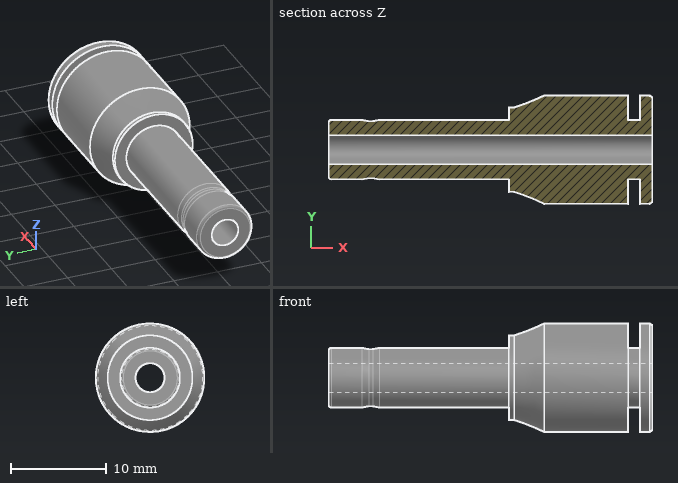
import cadquery as cq

length = 34.05
body_radius = 11.45 / 2
stem_radius = 6.3 / 2
bore_radius = 3.03 / 2

stem_end_round = 0.3
groove_start = 3.5
groove_slope_length = 0.7
groove_floor_length = 0.4
groove_depth = 0.15

collar_start = 18.95
collar_length = 0.55
collar_radius = 8.92 / 2
shoulder_length = 3.15
shoulder_hollow = 0.07
body_end = 31.5

neck_length = 1.23
ring_chamfer_length = 0.3
ring_chamfer_height = 0.2

groove_floor_start = groove_start + groove_slope_length
groove_floor_end = groove_floor_start + groove_floor_length
groove_end = groove_floor_end + groove_slope_length
shoulder_start = collar_start + collar_length
shoulder_end = shoulder_start + shoulder_length
ring_start = body_end + neck_length

groove_radius = stem_radius - groove_depth
shoulder_middle = (
    (shoulder_start + shoulder_end) / 2,
    (collar_radius + body_radius) / 2 - shoulder_hollow,
)


def make_stem():
    """Stem and neck as one spindle, running from the stem end to the ring."""
    profile = (
        cq.Workplane("XY")
        .lineTo(0, stem_radius)
        .lineTo(groove_start, stem_radius)
        .lineTo(groove_floor_start, groove_radius)
        .lineTo(groove_floor_end, groove_radius)
        .lineTo(groove_end, stem_radius)
        .lineTo(length, stem_radius)
        .lineTo(length, 0)
        .close()
    )
    spindle = profile.revolve(360, (0, 0, 0), (1, 0, 0))
    return spindle.faces("<X").edges().fillet(stem_end_round)


def make_body():
    """Collar, flared shoulder and cylindrical body."""
    profile = (
        cq.Workplane("XY")
        .moveTo(collar_start, 0)
        .lineTo(collar_start, collar_radius)
        .lineTo(shoulder_start, collar_radius)
        .threePointArc(shoulder_middle, (shoulder_end, body_radius))
        .lineTo(body_end, body_radius)
        .lineTo(body_end, 0)
        .close()
    )
    return profile.revolve(360, (0, 0, 0), (1, 0, 0))


def make_release_ring():
    """Flat ring with a chamfered outer end."""
    profile = (
        cq.Workplane("XY")
        .moveTo(ring_start, 0)
        .lineTo(ring_start, body_radius)
        .lineTo(length - ring_chamfer_length, body_radius)
        .lineTo(length, body_radius - ring_chamfer_height)
        .lineTo(length, 0)
        .close()
    )
    return profile.revolve(360, (0, 0, 0), (1, 0, 0))


bore = cq.Workplane("YZ").circle(bore_radius).extrude(length)
fitting = make_stem().union(make_body()).union(make_release_ring()).cut(bore)
result = fitting.translate((-length / 2, 0, 0))